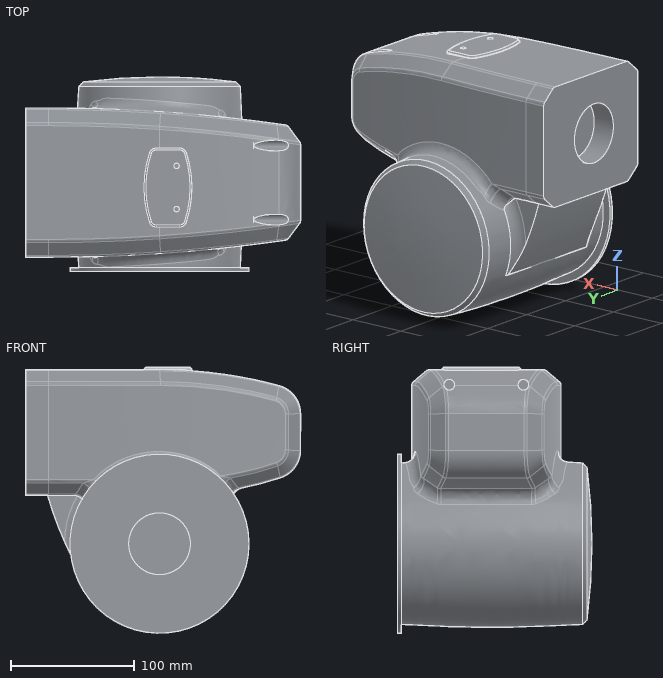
import cadquery as cq
import math

TOLERANCE = 0.01
MAX_OUTLINE_SLOPE = 0.35


FLANGE_RADIUS = 72.5
FLANGE_THICKNESS = 3.2
FLANGE_FACE_Y = -68.0
BARREL_START_Y = FLANGE_FACE_Y + FLANGE_THICKNESS
BARREL_END_RADIUS = 65.5
BARREL_MID_RADIUS = 67.8
BARREL_RIM_Y = 81.8
CAP_CHAMFER = 3.8
CAP_EDGE_Y = BARREL_RIM_Y + CAP_CHAMFER
CAP_EDGE_RADIUS = BARREL_END_RADIUS - CAP_CHAMFER
DOME_TOP_Y = 89.59

ARM_REAR_X = -108.3
ARM_NOSE_X = 114.49
ARM_TOP_Z = 141.0
ARM_BOTTOM_Z = 39.2
ARM_CENTER_Y = 4.0
ARM_HALF_WIDTH = 60.5
TAPER_START_X = -90.0
TAPER_END_X = 120.0
TAPER_END_HALF_WIDTH = 44.0
TOP_CURVE_START_X = 0.0
NOSE_CORNER_X = 113.6
NOSE_TOP_Z = 123.0
NOSE_BOTTOM_Z = 59.0
NOSE_FILLET = 24.0
BEVEL_EDGE_FILLET = 4.0
BOTTOM_CURVE_START_X = 10.0
ARM_BEVEL_IN_SIDE = 11.0
ARM_BEVEL_IN_Y = 13.0

FAIRING_MIN_Y = -41.0
FAIRING_MAX_Y = 49.0
FLARE_SIZE = 11.0
FLARE_FOOT_RADIUS = 66.0
FAIRING_TOP = (-91.5, 42.0)
FAIRING_MIDDLE = (-81.0, 11.0)
FAIRING_FOOT = (-62.5, -26.0)
BLEND_RADIUS = 9.0

SOCKET_RADIUS = 25.0
SOCKET_DEPTH = 20.0
ARM_SOCKET_Z = 90.0

PLATE_TOP_Z = 143.0
PLATE_SINK = 3.0
PLATE_CENTER_X = 6.8
PLATE_HALF_WIDTH = 19.4
PLATE_END_HALF_WIDTH = 13.5
PLATE_HALF_LENGTH = 32.0
PLATE_CORNER_RADIUS = 6.0
PLATE_BEVEL = 1.5
PIN_HOLE_RADIUS = 2.2
PIN_HOLE_X = 13.8
PIN_HOLE_Y = 17.5
PIN_HOLE_DEPTH = 2.0

NOSE_HOLE_RADIUS = 4.3
NOSE_HOLE_Z = 128.7
NOSE_HOLE_END_X = 76.0
NOSE_HOLE_OFFSET_Y = 30.0


def cylinder_along_y(radius, start_y, length):
    return cq.Workplane("XZ", origin=(0, start_y, 0)).circle(radius).extrude(-length)


def cylinder_along_x(radius, start_x, length, y, z):
    return cq.Workplane("YZ", origin=(start_x, y, z)).circle(radius).extrude(length)


def make_barrel():
    mid_y = (BARREL_START_Y + BARREL_RIM_Y) / 2
    profile = (
        cq.Workplane("XY")
        .moveTo(0, BARREL_START_Y)
        .lineTo(BARREL_END_RADIUS, BARREL_START_Y)
        .threePointArc((BARREL_MID_RADIUS, mid_y), (BARREL_END_RADIUS, BARREL_RIM_Y))
        .lineTo(CAP_EDGE_RADIUS, CAP_EDGE_Y)
    )
    rise = DOME_TOP_Y - CAP_EDGE_Y
    dome_radius = (CAP_EDGE_RADIUS**2 + rise**2) / (2 * rise)
    half_x = CAP_EDGE_RADIUS / 2
    half_y = DOME_TOP_Y - dome_radius + math.sqrt(dome_radius**2 - half_x**2)
    profile = profile.threePointArc((half_x, half_y), (0, DOME_TOP_Y)).close()
    return profile.revolve(360, (0, 0, 0), (0, 1, 0))


def make_arm():
    bottom_curve_length = NOSE_CORNER_X - BOTTOM_CURVE_START_X
    bottom_curve_rise = NOSE_BOTTOM_Z - ARM_BOTTOM_Z
    bottom_curve_radius = (bottom_curve_length**2 + bottom_curve_rise**2) / (2 * bottom_curve_rise)
    side_shape = (
        cq.Workplane("XZ", origin=(0, ARM_CENTER_Y + ARM_HALF_WIDTH, 0))
        .moveTo(NOSE_CORNER_X, NOSE_BOTTOM_Z)
        .radiusArc((BOTTOM_CURVE_START_X, ARM_BOTTOM_Z), bottom_curve_radius)
        .lineTo(ARM_REAR_X, ARM_BOTTOM_Z)
        .lineTo(ARM_REAR_X, ARM_TOP_Z)
        .lineTo(TOP_CURVE_START_X, ARM_TOP_Z)
        .tangentArcPoint((NOSE_CORNER_X, NOSE_TOP_Z), relative=False)
        .threePointArc((ARM_NOSE_X, (NOSE_TOP_Z + NOSE_BOTTOM_Z) / 2), (NOSE_CORNER_X, NOSE_BOTTOM_Z))
        .close()
        .extrude(2 * ARM_HALF_WIDTH)
        .edges("|Y")
        .edges(">X")
        .fillet(NOSE_FILLET)
    )
    half_plan = (
        cq.Workplane("XY")
        .moveTo(ARM_REAR_X, 0)
        .lineTo(ARM_REAR_X, ARM_HALF_WIDTH)
        .lineTo(TAPER_START_X, ARM_HALF_WIDTH)
        .tangentArcPoint((TAPER_END_X, TAPER_END_HALF_WIDTH), relative=False)
        .lineTo(TAPER_END_X, 0)
        .close()
        .extrude(2 * ARM_TOP_Z)
    )
    plan_shape = half_plan.union(half_plan.mirror("XZ")).translate((0, ARM_CENTER_Y, 0))
    return soften_bevel_edges(bevel_side_outlines(plan_shape.intersect(side_shape)))


def bevel_side_outlines(arm):
    """Bevel the outline of both side faces, leaving the rear face edges sharp."""

    def is_side_outline(edge):
        middle = edge.positionAt(0.5)
        on_side = abs(middle.y - ARM_CENTER_Y) > TAPER_END_HALF_WIDTH
        on_rear = edge.BoundingBox().xmax < ARM_REAR_X + TOLERANCE
        crosses_side = abs(middle.x - TAPER_START_X) < TOLERANCE
        return on_side and not on_rear and not crosses_side

    outline = [edge for edge in arm.edges().vals() if is_side_outline(edge)]
    return arm.newObject(outline).chamfer(ARM_BEVEL_IN_Y, ARM_BEVEL_IN_SIDE)


def soften_bevel_edges(arm):
    """Round the long edges on both sides of the bevels."""

    def is_bevel_edge(edge):
        middle = edge.positionAt(0.5)
        runs_along_outline = abs(edge.tangentAt(0.5).y) < MAX_OUTLINE_SLOPE
        on_rear = edge.BoundingBox().xmax < ARM_REAR_X + TOLERANCE
        crosses_side = abs(middle.x - TAPER_START_X) < TOLERANCE
        return runs_along_outline and not on_rear and not crosses_side

    bevel_edges = [edge for edge in arm.edges().vals() if is_bevel_edge(edge)]
    return arm.newObject(bevel_edges).fillet(BEVEL_EDGE_FILLET)


def make_fairing():
    """Solid behind the barrel that joins it to the arm, with sides that flare out onto the barrel."""
    length = DOME_TOP_Y - FLANGE_FACE_Y
    side_shape = (
        cq.Workplane("XZ", origin=(0, DOME_TOP_Y, 0))
        .moveTo(*FAIRING_TOP)
        .threePointArc(FAIRING_MIDDLE, FAIRING_FOOT)
        .lineTo(0, FAIRING_FOOT[1])
        .lineTo(0, FAIRING_TOP[1])
        .close()
        .extrude(length)
    )
    outer_radius = math.hypot(*FAIRING_TOP)
    flare_radius = FLARE_FOOT_RADIUS + FLARE_SIZE
    flared_disc = (
        cq.Workplane("XY")
        .moveTo(0, FAIRING_MIN_Y - FLARE_SIZE)
        .lineTo(FLARE_FOOT_RADIUS, FAIRING_MIN_Y - FLARE_SIZE)
        .radiusArc((flare_radius, FAIRING_MIN_Y), FLARE_SIZE)
        .lineTo(outer_radius, FAIRING_MIN_Y)
        .lineTo(outer_radius, FAIRING_MAX_Y)
        .lineTo(flare_radius, FAIRING_MAX_Y)
        .radiusArc((FLARE_FOOT_RADIUS, FAIRING_MAX_Y + FLARE_SIZE), FLARE_SIZE)
        .lineTo(0, FAIRING_MAX_Y + FLARE_SIZE)
        .close()
        .revolve(360, (0, 0, 0), (0, 1, 0))
    )
    return side_shape.intersect(flared_disc)


def blend_arm_to_barrel(body):
    """Round the concave corner where the arm meets the barrel."""

    def is_barrel_corner(edge):
        middle = edge.positionAt(0.5)
        radius = math.hypot(middle.x, middle.z)
        on_barrel = BARREL_END_RADIUS - TOLERANCE < radius < BARREL_MID_RADIUS + TOLERANCE
        return on_barrel and middle.z > ARM_BOTTOM_Z / 2 and BARREL_START_Y < middle.y < BARREL_RIM_Y

    corner = [edge for edge in body.edges().vals() if is_barrel_corner(edge)]
    return body.newObject(corner).fillet(BLEND_RADIUS)


def make_plate():
    """Cover plate with straight ends, bowed long sides and a beveled top edge."""
    return (
        cq.Workplane("XY", origin=(PLATE_CENTER_X, 0, ARM_TOP_Z - PLATE_SINK))
        .moveTo(-PLATE_END_HALF_WIDTH, -PLATE_HALF_LENGTH)
        .lineTo(PLATE_END_HALF_WIDTH, -PLATE_HALF_LENGTH)
        .threePointArc((PLATE_HALF_WIDTH, 0), (PLATE_END_HALF_WIDTH, PLATE_HALF_LENGTH))
        .lineTo(-PLATE_END_HALF_WIDTH, PLATE_HALF_LENGTH)
        .threePointArc((-PLATE_HALF_WIDTH, 0), (-PLATE_END_HALF_WIDTH, -PLATE_HALF_LENGTH))
        .close()
        .extrude(PLATE_TOP_Z - ARM_TOP_Z + PLATE_SINK)
        .edges("|Z")
        .fillet(PLATE_CORNER_RADIUS)
        .faces(">Z")
        .edges()
        .chamfer(PLATE_BEVEL)
    )


def cut_pin_holes(body):
    points = [(PIN_HOLE_X, -PIN_HOLE_Y), (PIN_HOLE_X, PIN_HOLE_Y)]
    start = cq.Workplane("XY", origin=(0, 0, PLATE_TOP_Z - PIN_HOLE_DEPTH))
    return body.cut(start.pushPoints(points).circle(PIN_HOLE_RADIUS).extrude(PIN_HOLE_DEPTH))


def cut_sockets(body):
    body = body.cut(cylinder_along_y(SOCKET_RADIUS, FLANGE_FACE_Y, SOCKET_DEPTH))
    return body.cut(cylinder_along_x(SOCKET_RADIUS, ARM_REAR_X, SOCKET_DEPTH, 0, ARM_SOCKET_Z))


def cut_nose_holes(body):
    length = ARM_NOSE_X - NOSE_HOLE_END_X
    for side in (-1, 1):
        y = ARM_CENTER_Y + side * NOSE_HOLE_OFFSET_Y
        body = body.cut(cylinder_along_x(NOSE_HOLE_RADIUS, NOSE_HOLE_END_X, length, y, NOSE_HOLE_Z))
    return body


result = blend_arm_to_barrel(make_arm().union(make_barrel()))
result = result.union(make_fairing())
result = result.union(cylinder_along_y(FLANGE_RADIUS, FLANGE_FACE_Y, FLANGE_THICKNESS))
result = result.union(make_plate())
result = cut_pin_holes(result)
result = cut_sockets(result)
result = cut_nose_holes(result)